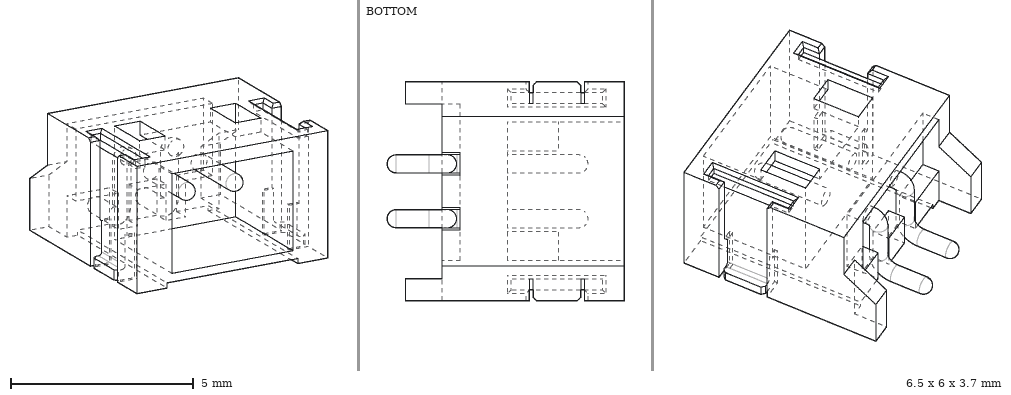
import cadquery as cq


length = 6.5
width = 6.0
height = 3.7
rear_x = 1.5
leg_x = 0.5
leg_width = 0.61
leg_rear_height = 1.5
leg_root_height = 2.2
top_wall = 0.4
side_wall = 1.1
half_width = width / 2
cavity_top = height - top_wall

groove_height = 0.15
groove_width = 4.1

recess_depth = 0.5
recess_floor = 1.2
recess_y_min = -half_width + leg_width
recess_y_max = half_width - side_wall
notch_width = 0.61

cavity_x = 3.3
cavity_floor = 0.4
cavity_half_width = half_width - side_wall
window_length = 1.4
window_width = 0.8

pin_diameter = 0.5
pin_radius = pin_diameter / 2
pin_pitch = 1.5
pin_upright_x = 1.65
pin_upper_z = 2.205
lower_bend = 0.5
upper_bend = 0.26
mating_end_x = 5.5

chamfer = 0.1
slot_x = cavity_x + chamfer
slot_length = 2.495
slot_outer_depth = 0.3
plate_thickness = 0.3
slot_inner_depth = slot_outer_depth + plate_thickness
plate_drop = 0.3
opening_x = 3.9
opening_length = 1.5
plate_gap = 0.1
narrow_height = 1.3
tab_thickness = plate_thickness
tab_length = opening_length - 2 * plate_gap
bend_fillet = 0.1


def box(x0, x1, y0, y1, z0, z1):
    """Axis-aligned box between two opposite corners."""
    return cq.Workplane("XY").box(x1 - x0, y1 - y0, z1 - z0, centered=False).translate((x0, y0, z0))


def chamfered_pocket(x0, x1, y0, y1, depth):
    """Rectangular pocket from the top face, with its rim widened by the chamfer."""
    pocket = box(x0, x1, y0, y1, height - depth, height)
    rim = (
        cq.Workplane("XY", origin=((x0 + x1) / 2, (y0 + y1) / 2, height))
        .rect(x1 - x0 + 2 * chamfer, y1 - y0 + 2 * chamfer)
        .extrude(-chamfer, taper=45)
    )
    return pocket.union(rim)


def both_sides(shape):
    """The shape together with its mirror image across the middle plane."""
    return shape.union(shape.mirror("XZ"))


def make_shell():
    profile = [
        (leg_x, 0),
        (length, 0),
        (length, height),
        (rear_x, height),
        (rear_x, leg_root_height),
        (leg_x, leg_rear_height),
    ]
    body = cq.Workplane("XZ", origin=(0, half_width, 0)).polyline(profile).close().extrude(width)
    between_legs = half_width - leg_width
    body = body.cut(box(0, rear_x, -between_legs, between_legs, 0, height))
    body = body.cut(box(0, length, -groove_width / 2, groove_width / 2, 0, groove_height))
    return body.cut(
        box(cavity_x, length, -cavity_half_width, cavity_half_width, cavity_floor, cavity_top)
    )


def make_rear_recess():
    recess_end = rear_x + recess_depth
    recess = box(rear_x, recess_end, recess_y_min, recess_y_max, recess_floor, cavity_top)
    for pin_y in (-pin_pitch / 2, pin_pitch / 2):
        y0 = pin_y - notch_width / 2
        recess = recess.union(box(rear_x, recess_end, y0, y0 + notch_width, 0, recess_floor))
    return recess


def make_windows():
    y0 = -cavity_half_width
    window = box(cavity_x, cavity_x + window_length, y0, y0 + window_width, cavity_top, height)
    return both_sides(window)


def make_plate_openings():
    outer_y = -half_width + slot_outer_depth
    inner_y = -half_width + slot_inner_depth
    slot = chamfered_pocket(slot_x, slot_x + slot_length, outer_y, inner_y, plate_drop)
    opening_end = opening_x + opening_length
    mouth = chamfered_pocket(opening_x, opening_end, -half_width - slot_outer_depth, outer_y, height)
    opening = slot.union(mouth)
    for x0 in (opening_x, opening_end - plate_gap):
        opening = opening.union(box(x0, x0 + plate_gap, outer_y, inner_y, 0, narrow_height))
    return both_sides(opening)


def make_solder_tabs():
    """Bent feet of the side plates, with chamfered outer corners and a filleted bend."""
    outer_y = -half_width + slot_outer_depth
    x0 = opening_x + plate_gap
    x1 = x0 + tab_length
    foot = box(x0, x1, -half_width, outer_y, 0, tab_thickness)
    foot = foot.edges("|Z and <Y").chamfer(chamfer)
    bend = (
        cq.Workplane("YZ", origin=(x0, outer_y, tab_thickness))
        .lineTo(0, bend_fillet)
        .radiusArc((-bend_fillet, 0), bend_fillet)
        .close()
        .extrude(tab_length)
    )
    return both_sides(foot.union(bend))


def make_pin(pin_y):
    """Round pin bent twice, with a dome on each end."""
    lower_z = pin_radius
    path = (
        cq.Workplane("XZ", origin=(0, pin_y, 0))
        .moveTo(pin_radius, lower_z)
        .lineTo(pin_upright_x - lower_bend, lower_z)
        .tangentArcPoint((pin_upright_x, lower_z + lower_bend), relative=False)
        .lineTo(pin_upright_x, pin_upper_z - upper_bend)
        .tangentArcPoint((pin_upright_x + upper_bend, pin_upper_z), relative=False)
        .lineTo(mating_end_x - pin_radius, pin_upper_z)
    )
    pin = cq.Workplane("YZ", origin=(pin_radius, pin_y, lower_z)).circle(pin_radius).sweep(path)
    for x, z in ((pin_radius, lower_z), (mating_end_x - pin_radius, pin_upper_z)):
        pin = pin.union(cq.Workplane("XY", origin=(x, pin_y, z)).sphere(pin_radius))
    return pin


result = make_shell().cut(make_rear_recess()).cut(make_windows()).cut(make_plate_openings())
result = result.union(make_solder_tabs())
for pin_y in (-pin_pitch / 2, pin_pitch / 2):
    result = result.union(make_pin(pin_y))